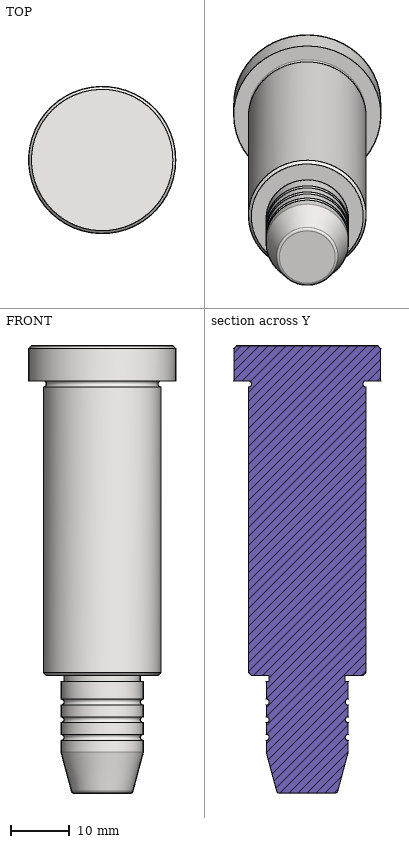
import cadquery as cq
import math

total_length = 76.0
head_diameter = 25.0
body_diameter = 20.0
tip_diameter = 14.0
neck_diameter = 13.0

head_height = 6.0
body_length = 50.0
neck_length = 1.0
lead_in_length = 7.0
lead_in_angle = 15.0

edge_chamfer = 0.5
tip_fillet = 0.5
groove_radius = 0.5
groove_count = 3
groove_pitch = 3.0
first_groove_drop = 4.5

head_bottom = total_length - head_height
body_bottom = head_bottom - body_length
neck_bottom = body_bottom - neck_length
lead_in_end_radius = tip_diameter / 2 - lead_in_length * math.tan(math.radians(lead_in_angle))


def cylinder(diameter, bottom, top):
    """Solid cylinder on the Z axis between two levels."""
    return cq.Workplane("XY").workplane(offset=bottom).circle(diameter / 2).extrude(top - bottom)


def make_head():
    head = cylinder(head_diameter, head_bottom, total_length)
    return head.faces(">Z").edges().chamfer(edge_chamfer)


def make_body():
    body = cylinder(body_diameter, body_bottom, head_bottom)
    return body.faces("<Z").edges().chamfer(edge_chamfer)


def make_neck():
    return cylinder(neck_diameter, neck_bottom, body_bottom)


def make_tip():
    """Grooved shank end with a conical lead-in and a rounded end edge."""
    tip = (
        cq.Workplane("XZ")
        .lineTo(lead_in_end_radius, 0)
        .lineTo(tip_diameter / 2, lead_in_length)
        .lineTo(tip_diameter / 2, neck_bottom)
        .lineTo(0, neck_bottom)
        .close()
        .revolve(360, (0, 0, 0), (0, 1, 0))
    )
    return tip.faces("<Z").edges().fillet(tip_fillet)


def make_groove(diameter, level):
    """Ring that cuts a half-round groove into a cylinder, centred on the level."""
    return (
        cq.Workplane("XZ")
        .center(diameter / 2, level)
        .circle(groove_radius)
        .revolve(360, (-diameter / 2, 0, 0), (-diameter / 2, 1, 0))
    )


body = make_body().cut(make_groove(body_diameter, head_bottom - groove_radius))

tip = make_tip()
for index in range(groove_count):
    groove_level = body_bottom - first_groove_drop - index * groove_pitch
    tip = tip.cut(make_groove(tip_diameter, groove_level))

result = make_head().union(body).union(make_neck()).union(tip)